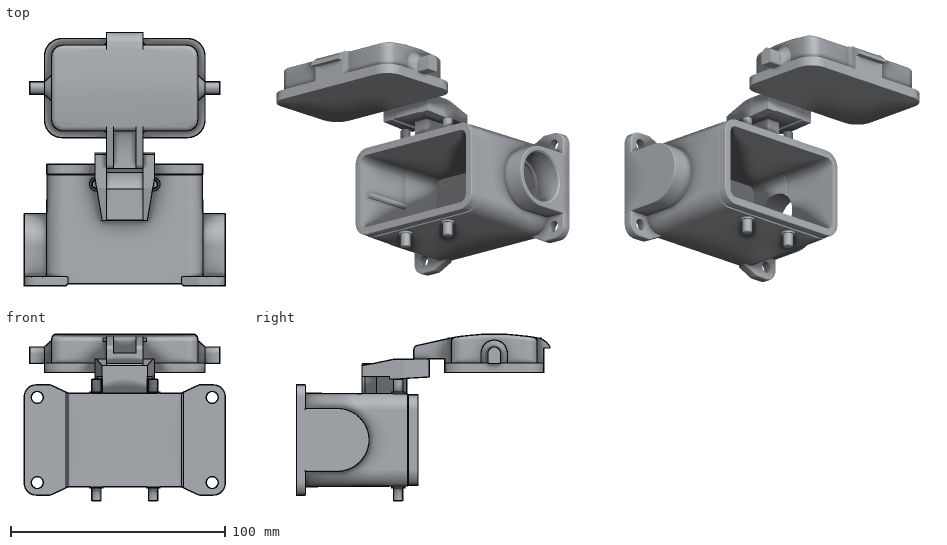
import cadquery as cq
import math


body_width = 73.4
body_height = 43.8
body_taper = 0.4
body_corner = 7.6
body_back = 56.8
collar_length = 5.0
collar_width = 72.9
collar_height = 42.4
collar_corner = 7.1
rim_fillet = 0.4
groove_width = 0.5
groove_depth = 0.2
face_recess = 1.0
wall = 3.5
ledge_y = 26.1
ledge_step = 0.5
guide_rib_radius = 1.4

plate_span = 94.0
plate_height = 51.6
plate_thickness = 4.3
plate_corner = 5.7
plate_flat_x = 34.7
plate_inner_x = 26.4
plate_slope_round = 1.8
plate_edge_fillet = 0.5
hole_x = 40.8
hole_z = 19.9
hole_diameter = 5.5

boss_radius = 14.7
boss_y = 19.2
bore_radius = 12.0
bore_chamfer = 0.7
entry_radius = 10.4
bore_depth = 13.3

stud_x = 13.3
stud_y = 47.5
stud_radius = 2.2
stud_end_z = 28.5
stud_chamfer = 0.4
washer_radius = 3.2
washer_height = 0.5

hinge_half_width = 14.0
hinge_front_half = 10.5
hinge_front_y = 30.5
hinge_back_y = 62.0
hinge_back_bevel = 0.7
hinge_taper_y = 50.4
hinge_top = 37.7
hinge_slope_y = 45.5
hinge_front_top = 34.7
hinge_side_bottom = 29.7
hinge_pad_bottom = 28.5
hinge_pad_front_y = 43.3
hinge_back_bottom = 29.3
hinge_plate_thickness = 1.4
saddle_top = 35.6
saddle_lip_z = 34.4
saddle_lip = 0.2
saddle_edge_y = 45.2
saddle_low = 33.0
saddle_low_y = 52.8
pedestal_front_y = 37.3
pedestal_back_y = 51.5
pedestal_half = 3.5
pedestal_flare_half = 9.5

cover_y = 92.3
cover_bottom = 31.5
flange_top = 36.0
flange_width = 75.0
flange_length = 46.4
flange_corner = 8.3
shell_width = 68.2
shell_length = 40.0
shell_corner = 5.1
shell_edge_fillet = 2.1
cover_top = 49.6
crown_radius = 106.5

arm_half_width = 8.5
arm_end_y = 54.7
arm_end_z = 43.8
arm_end_fillet = 2.4
arm_bottom = 37.9
arm_lug_back_y = 61.8
arm_lug_bottom = 30.8
arm_pocket_half = 5.2
arm_pocket_floor = 40.6
arm_corner_fillet = 1.5
tab_corner_fillet = 2.0
tab_tip_y = 118.3
tab_tip_z = 43.5
tab_under_z = 42.8
tab_start_y = 113.8
tab_shoulder = (116.2, 46.0)

peg_end_x = 44.4
peg_z = 40.5
peg_radius = 3.0
peg_bottom = 35.6
peg_bottom_round = 0.7
peg_root_radius = 6.2
peg_root_length = 3.4


def box(x0, x1, y0, y1, z0, z1):
    return cq.Workplane("XY").box(x1 - x0, y1 - y0, z1 - z0, centered=False).translate((x0, y0, z0))


def rounded_bar(width, height, radius, y0, y1, taper=0):
    """Rounded rectangle in XZ, extruded along +Y from y0 to y1."""
    outline = cq.Sketch().rect(width, height).vertices().fillet(radius)
    bar = cq.Workplane("XZ").placeSketch(outline).extrude(y0 - y1, taper=taper)
    return bar.translate((0, y0, 0))


def side_prism(points, half_width):
    """Polygon of (y, z) points, extruded across X."""
    return cq.Workplane("YZ").polyline(points).close().extrude(half_width, both=True)


def both_sides(solid):
    return solid.union(solid.mirror("YZ"))


collar_y = body_back - collar_length


def housing_shell():
    body = rounded_bar(body_width, body_height, body_corner, face_recess, collar_y, body_taper)
    groove = rounded_bar(collar_width - 2 * groove_depth, collar_height - 2 * groove_depth,
                         collar_corner - groove_depth, collar_y - groove_width, collar_y + groove_width)
    collar = rounded_bar(collar_width, collar_height, collar_corner, collar_y + groove_width, body_back)
    collar = collar.faces(">Y").edges().fillet(rim_fillet)
    return body.union(groove).union(collar)


def mounting_plate():
    """Plate at +X with rounded outer corners and sloped edges down to the housing."""
    half_span = plate_span / 2
    half_height = plate_height / 2
    inner_z = body_height / 2
    outline = [
        (plate_inner_x, -inner_z), (plate_flat_x, -half_height), (half_span, -half_height),
        (half_span, half_height), (plate_flat_x, half_height), (plate_inner_x, inner_z),
    ]
    plate = cq.Workplane("XZ").polyline(outline).close().extrude(-plate_thickness)
    plate = plate.edges("|Y and >X").fillet(plate_corner)
    for z in (-half_height, half_height):
        slope_edge = cq.selectors.NearestToPointSelector((plate_flat_x, plate_thickness / 2, z))
        plate = plate.edges(slope_edge).fillet(plate_slope_round)
    plate = plate.faces(">Y").edges("not <X").fillet(plate_edge_fillet)
    return plate.faces("<Y").edges("<X").chamfer(face_recess)


def entry_boss():
    """Round boss at +X that runs down to the mounting plate."""
    length = plate_span / 2
    boss = cq.Workplane("YZ").center(boss_y, 0).circle(boss_radius).extrude(length)
    foot = box(0, length, face_recess, boss_y, -boss_radius, boss_radius)
    boss = boss.union(foot)
    return boss.faces(">X").edges("not <Y").fillet(plate_edge_fillet)


def housing_cavity():
    half_width = body_width / 2 - wall
    half_height = collar_height / 2 - wall
    corner = collar_corner - wall
    narrow = rounded_bar(2 * (half_width - ledge_step), 2 * half_height, corner,
                         face_recess + wall, body_back)
    wide = rounded_bar(2 * half_width, 2 * half_height, corner, ledge_y, body_back)
    rib = cq.Workplane("XZ", origin=(half_width, ledge_y, 0)).circle(guide_rib_radius)
    rib = rib.extrude(ledge_y - collar_y)
    return narrow.union(wide).cut(rib)


def cable_entry():
    """Bore in the -X boss with a smaller opening through the housing wall."""
    face_x = -plate_span / 2
    shoulder_x = face_x + bore_depth
    chamfer_x = face_x + bore_chamfer
    profile = [
        (face_x, 0), (face_x, bore_radius + bore_chamfer), (chamfer_x, bore_radius),
        (shoulder_x, bore_radius), (shoulder_x, entry_radius), (0, entry_radius), (0, 0),
    ]
    bore = cq.Workplane("XY").polyline(profile).close()
    return bore.revolve(360, (0, 0, 0), (1, 0, 0)).translate((0, boss_y, 0))


def mounting_holes():
    places = [(sx * hole_x, sz * hole_z) for sx in (-1, 1) for sz in (-1, 1)]
    return cq.Workplane("XZ").pushPoints(places).circle(hole_diameter / 2).extrude(-plate_thickness)


def studs():
    """Two studs standing out of the top and two out of the bottom, each with a washer."""
    seat_z = body_height / 2 - wall / 2
    washer_top = body_height / 2 + washer_height
    stud = cq.Workplane("XY", origin=(stud_x, stud_y, seat_z)).circle(stud_radius)
    stud = stud.extrude(stud_end_z - seat_z).faces(">Z").chamfer(stud_chamfer)
    washer = cq.Workplane("XY", origin=(stud_x, stud_y, seat_z)).circle(washer_radius)
    stud = both_sides(stud.union(washer.extrude(washer_top - seat_z)))
    return stud.union(stud.mirror("XY"))


def hinge():
    """Two cheeks with a saddle between them, on a front plate and a narrow pedestal."""
    side_profile = [
        (hinge_front_y, hinge_front_top), (hinge_slope_y, hinge_top),
        (hinge_back_y - hinge_back_bevel, hinge_top), (hinge_back_y, hinge_top - hinge_back_bevel),
        (hinge_back_y, hinge_back_bottom), (stud_y, hinge_pad_bottom),
        (hinge_pad_front_y, hinge_pad_bottom), (hinge_pad_front_y, hinge_side_bottom),
        (hinge_front_y, hinge_side_bottom),
    ]
    plan = [
        (-hinge_front_half, hinge_front_y), (hinge_front_half, hinge_front_y),
        (hinge_half_width, hinge_taper_y), (hinge_half_width, hinge_back_y),
        (-hinge_half_width, hinge_back_y), (-hinge_half_width, hinge_taper_y),
    ]
    plan_block = cq.Workplane("XY").polyline(plan).close().extrude(hinge_top)
    channel = box(-arm_half_width, arm_half_width, hinge_front_y, hinge_back_y, 0, hinge_top)
    cheeks = side_prism(side_profile, hinge_half_width).intersect(plan_block).cut(channel)

    saddle_profile = [
        (hinge_front_y, hinge_side_bottom), (hinge_front_y, saddle_lip_z),
        (hinge_front_y + saddle_lip, saddle_top), (saddle_edge_y, saddle_top),
        (saddle_low_y, saddle_low), (arm_lug_back_y, saddle_low), (arm_lug_back_y, hinge_side_bottom),
    ]
    saddle = side_prism(saddle_profile, arm_half_width)

    seat_z = collar_height / 2
    flare_y = hinge_front_y + hinge_plate_thickness
    front = box(-hinge_front_half, hinge_front_half, hinge_front_y, flare_y, seat_z, hinge_front_top)
    pedestal_plan = [
        (-pedestal_flare_half, flare_y), (pedestal_flare_half, flare_y),
        (pedestal_half, pedestal_front_y), (pedestal_half, pedestal_back_y),
        (-pedestal_half, pedestal_back_y), (-pedestal_half, pedestal_front_y),
    ]
    pedestal = cq.Workplane("XY", origin=(0, 0, seat_z)).polyline(pedestal_plan).close()
    pedestal = pedestal.extrude(hinge_side_bottom - seat_z)
    return cheeks.union(saddle).union(front).union(pedestal)


shell_front_y = cover_y - shell_length / 2
shell_back_y = cover_y + shell_length / 2
flange_front_y = cover_y - flange_length / 2
flange_back_y = cover_y + flange_length / 2


def crown_z(y):
    """Height of the crowned top surface at a given Y."""
    drop = crown_radius - math.sqrt(crown_radius ** 2 - (y - cover_y) ** 2)
    return cover_top - drop


def cover_plan(width, length, corner, z0, z1):
    outline = cq.Sketch().rect(width, length).vertices().fillet(corner)
    return cq.Workplane("XY", origin=(0, cover_y, z0)).placeSketch(outline).extrude(z1 - z0)


def cover_flange():
    return cover_plan(flange_width, flange_length, flange_corner, cover_bottom, flange_top)


def crown():
    """Large cylinder along X whose top gives the cover its crowned surface."""
    disc = cq.Workplane("YZ", origin=(-flange_width, cover_y, cover_top - crown_radius)).circle(crown_radius)
    return disc.extrude(2 * flange_width)


def cover_shell(crown_tool):
    shell = cover_plan(shell_width, shell_length, shell_corner, cover_bottom, cover_top)
    return shell.intersect(crown_tool).faces(">Z").edges().fillet(shell_edge_fillet)


def hinge_arm():
    """Arm from the front wall of the cover down into the hinge."""
    root_z = crown_z(shell_front_y)
    profile = [
        (shell_front_y, root_z), (arm_end_y, arm_end_z), (arm_end_y, arm_lug_bottom),
        (arm_lug_back_y, arm_lug_bottom), (arm_lug_back_y, arm_bottom),
        (flange_front_y, arm_bottom), (flange_front_y, cover_bottom), (shell_front_y, cover_bottom),
    ]
    end_corner = cq.selectors.NearestToPointSelector((0, arm_end_y, arm_end_z))
    return side_prism(profile, arm_half_width).edges(end_corner).fillet(arm_end_fillet)


def latch_tab():
    """Hooked tab behind the back wall of the cover."""
    profile = (
        cq.Workplane("YZ")
        .moveTo(tab_start_y, cover_bottom)
        .lineTo(flange_back_y, cover_bottom)
        .lineTo(flange_back_y, tab_under_z)
        .lineTo(tab_tip_y, tab_under_z)
        .lineTo(tab_tip_y, tab_tip_z)
        .threePointArc(tab_shoulder, (tab_start_y, crown_z(tab_start_y)))
        .close()
    )
    return profile.extrude(arm_half_width, both=True)


def strap(crown_tool):
    """Arm and tab joined across the cover, with a pocket down the middle of the arm."""
    middle = box(-arm_half_width, arm_half_width, shell_front_y, tab_start_y, cover_bottom, cover_top)
    solid = middle.intersect(crown_tool).union(hinge_arm()).union(latch_tab())
    pocket_back = shell_front_y + shell_edge_fillet
    pocket = box(-arm_pocket_half, arm_pocket_half, arm_end_y, pocket_back, arm_pocket_floor, cover_top)
    return solid.cut(pocket)


def inner_corner(side, wall_y, direction, radius):
    """Concave round between the strap side and a cover wall facing +Y or -Y."""
    x = side * arm_half_width
    centre_x = x + side * radius
    centre_y = wall_y + direction * radius
    reach = radius * math.sqrt(0.5)
    corner = (
        cq.Workplane("XY", origin=(0, 0, flange_top))
        .moveTo(x, wall_y)
        .lineTo(centre_x, wall_y)
        .threePointArc((centre_x - side * reach, centre_y - direction * reach), (x, centre_y))
        .close()
    )
    return corner.extrude(crown_z(wall_y) - flange_top)


def end_peg():
    """Peg at +X with a rounded top, flared where it meets the cover wall."""
    wall_x = shell_width / 2
    flare_x = wall_x + peg_root_length
    start_x = wall_x - shell_edge_fillet
    upper = cq.Workplane("YZ", origin=(start_x, cover_y, peg_z)).circle(peg_radius)
    upper = upper.extrude(peg_end_x - start_x)
    upper = upper.intersect(box(start_x, peg_end_x, flange_front_y, flange_back_y, peg_z, cover_top))
    lower = box(start_x, peg_end_x, cover_y - peg_radius, cover_y + peg_radius, peg_bottom, peg_z)
    lower = lower.faces("<Z").edges("|X").fillet(peg_bottom_round)

    flare = cq.Workplane("YZ", origin=(wall_x, cover_y, peg_z)).circle(peg_root_radius)
    flare = flare.workplane(offset=peg_root_length).circle(peg_radius).loft()
    flare = flare.intersect(box(wall_x, flare_x, flange_front_y, flange_back_y, peg_z, cover_top))
    flare_plan = [
        (wall_x, cover_y - peg_root_radius), (flare_x, cover_y - peg_radius),
        (flare_x, cover_y + peg_radius), (wall_x, cover_y + peg_root_radius),
    ]
    skirt = cq.Workplane("XY", origin=(0, 0, flange_top)).polyline(flare_plan).close()
    skirt = skirt.extrude(peg_z - flange_top)
    return upper.union(lower).union(flare).union(skirt)


def cover():
    crown_tool = crown()
    solid = cover_shell(crown_tool).union(strap(crown_tool)).union(cover_flange())
    for side in (-1, 1):
        solid = solid.union(inner_corner(side, shell_front_y, -1, arm_corner_fillet))
        solid = solid.union(inner_corner(side, shell_back_y, 1, tab_corner_fillet))
    return solid.union(both_sides(end_peg()))


housing = housing_shell().union(both_sides(mounting_plate())).union(both_sides(entry_boss()))
housing = housing.cut(housing_cavity()).cut(cable_entry()).cut(mounting_holes())

result = housing.union(studs()).union(hinge()).union(cover())